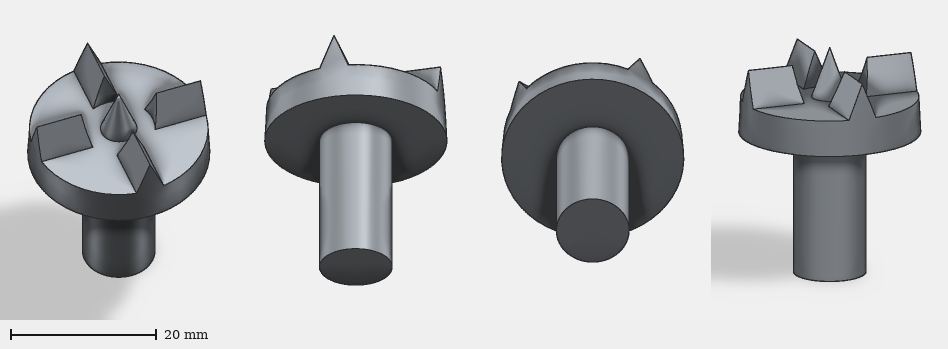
import cadquery as cq

total_height = 32.0
shank_diameter = 10.0
shank_length = 20.0
head_diameter = 25.0
plate_thickness = 5.0
tooth_height = 5.0
tooth_width = 4.0
head_top_radius = 12.0
tooth_inner_diameter = 10.0
crest_inner_radius = 5.5
spike_diameter = 5.0
tooth_angles = (0, 90, 180, 270)

plate_top = shank_length + plate_thickness
crest_level = plate_top + tooth_height
head_base_radius = head_diameter / 2
tooth_inner_radius = tooth_inner_diameter / 2


def revolve_profile(points):
    """Revolve a closed (radius, height) outline about the Z axis."""
    return cq.Workplane("XZ").polyline(points).close().revolve(360, (0, 0), (0, 1))


def make_tapered_head():
    """Tapered disc up to crest level, hollowed above the plate by a flaring recess."""
    return revolve_profile([
        (0, shank_length),
        (head_base_radius, shank_length),
        (head_top_radius, crest_level),
        (crest_inner_radius, crest_level),
        (tooth_inner_radius, plate_top),
        (0, plate_top),
    ])


def make_tooth_prism(angle):
    """Triangular ridge running outward from the axis, with its crest on top."""
    ridge = (
        cq.Workplane("YZ")
        .polyline([
            (-tooth_width / 2, plate_top),
            (tooth_width / 2, plate_top),
            (0, crest_level),
        ])
        .close()
        .extrude(head_base_radius)
    )
    return ridge.rotate((0, 0, 0), (0, 0, 1), angle)


def make_head():
    """Plate with the teeth left standing where the ridges meet the tapered head."""
    envelope = cq.Workplane("XY").circle(head_base_radius).extrude(plate_top)
    for angle in tooth_angles:
        envelope = envelope.union(make_tooth_prism(angle))
    return make_tapered_head().intersect(envelope)


def make_spike():
    """Centre point rising from the plate face."""
    return revolve_profile([
        (0, plate_top),
        (spike_diameter / 2, plate_top),
        (0, total_height),
    ])


shank = cq.Workplane("XY").circle(shank_diameter / 2).extrude(shank_length)
result = shank.union(make_head()).union(make_spike())